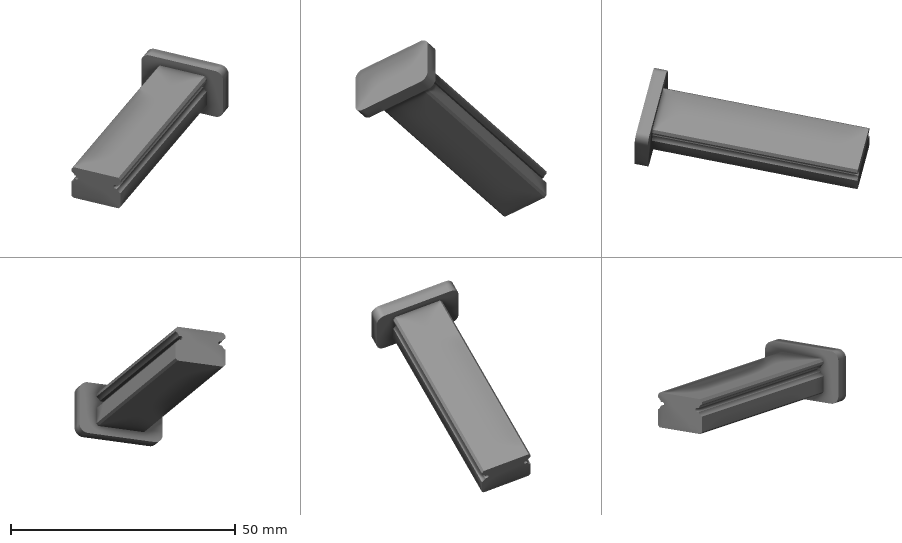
import cadquery as cq

total_length = 50.0
flange_width = 20.0
flange_height = 12.0
flange_thickness = 3.0
flange_corner_radius = 2.0

rail_width = 12.0
rail_height = 8.0
rail_length = total_length - flange_thickness
rail_chamfer = 0.5
top_chamfer_height = 0.6

raceway_depth_below_top = 2.55
raceway_radius = 1.5
raceway_center_offset = 0.6
slot_width = 0.9
slot_depth = 1.7

rail_side = rail_width / 2
raceway_z = rail_height / 2 - raceway_depth_below_top


def make_flange():
    """Rounded rectangular plate at the back end of the rail."""
    return (
        cq.Workplane("XY")
        .box(flange_width, flange_thickness, flange_height)
        .edges("|Y")
        .fillet(flange_corner_radius)
        .translate((0, rail_length + flange_thickness / 2, 0))
    )


def make_rail():
    """Bar with its four long edges chamfered, front face on Y = 0."""
    top = rail_height / 2
    top_flat = rail_side - rail_chamfer
    return (
        cq.Workplane("XZ")
        .moveTo(-top_flat, top)
        .lineTo(top_flat, top)
        .lineTo(rail_side, top - top_chamfer_height)
        .lineTo(rail_side, -top + rail_chamfer)
        .lineTo(top_flat, -top)
        .lineTo(-top_flat, -top)
        .lineTo(-rail_side, -top + rail_chamfer)
        .lineTo(-rail_side, top - top_chamfer_height)
        .close()
        .extrude(-rail_length)
    )


def make_side_groove(side):
    """Round raceway and relief slot for one side: -1 is left, 1 is right."""
    raceway_x = side * (rail_side + raceway_center_offset)
    raceway = (
        cq.Workplane("XZ")
        .center(raceway_x, raceway_z)
        .circle(raceway_radius)
        .extrude(-rail_length)
    )
    slot_half_length = slot_depth + raceway_center_offset
    slot = (
        cq.Workplane("XZ")
        .center(raceway_x, raceway_z)
        .slot2D(2 * slot_half_length, slot_width)
        .extrude(-rail_length)
    )
    return raceway.union(slot)


rail = make_rail()
for side in (-1, 1):
    rail = rail.cut(make_side_groove(side))

result = rail.union(make_flange()).translate((0, -total_length / 2, 0))